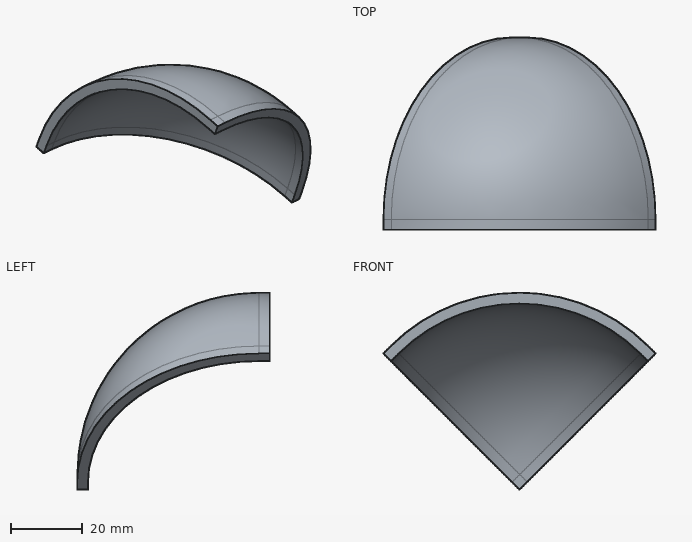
import cadquery as cq

outer_radius = 50.8
wall = 3.048
rim_width = 3.048
tilt = -45

inner_radius = outer_radius - wall


def quarter_ring(plane):
    """Quarter of a flat ring on the plane, in its positive quadrant."""
    ring = cq.Workplane(plane).circle(outer_radius).circle(inner_radius)
    full_ring = ring.extrude(-rim_width)
    quadrant = (
        cq.Workplane(plane)
        .rect(outer_radius, outer_radius, centered=False)
        .extrude(-rim_width)
    )
    return full_ring.intersect(quadrant)


def spherical_shell():
    """Octant of the hollow sphere in the positive X, Y, Z corner."""
    ball = cq.Workplane().sphere(outer_radius)
    hollow = ball.cut(cq.Workplane().sphere(inner_radius))
    octant = cq.Workplane().box(outer_radius, outer_radius, outer_radius, centered=False)
    return hollow.intersect(octant)


def corner_block(plane):
    """Square block filling the corner between the two rims that meet on the plane normal."""
    return (
        cq.Workplane(plane)
        .workplane(offset=inner_radius)
        .rect(-rim_width, -rim_width, centered=False)
        .extrude(wall)
    )


shell = spherical_shell()
for side in ("XY", "YZ", "ZX"):
    shell = shell.union(quarter_ring(side)).union(corner_block(side))

result = shell.rotate((0, 0, 0), (0, 1, 0), tilt)